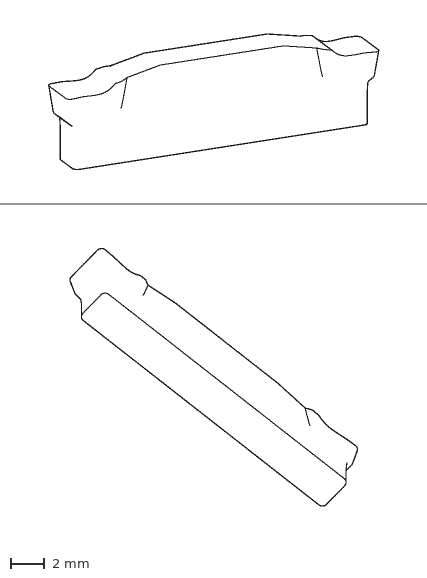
import cadquery as cq
import math

length = 20.33
height = 5.77
body_width = 2.3
half_length = length / 2

tip_height = 4.61
clearance_foot = (0.2, 2.95)
body_end = (0.59, 2.66)
land_end = (0.87, 4.65)
crest_end = (1.1, 4.65)
rake_break = (1.4, 4.64)
rake_end = (1.77, 4.61)
floor_end = (2.01, 4.61)
breaker_end = (3.07, 5.08)
ramp_start = (3.3, 5.16)
ramp_end = (6.15, height)

flank_width = 3.03
flank_taper_down = math.tan(math.radians(6.5))
flank_taper_back = math.tan(math.radians(3.5))
shoulder_start = 3.62
shoulder_end = 4.0
shoulder_top = 5.33
shoulder_radius = 0.5
corner_radius = 0.33
undercut_radius = 0.22
edge_margin = 0.02
clear_size = 3 * length


def flank_half_width(distance, z):
    drop = flank_taper_down * (tip_height - z)
    return flank_width / 2 - drop - flank_taper_back * distance


def half_profile():
    """Side profile from the end at -Y to the middle, extruded wider than the head."""
    def at(point):
        return (point[0] - half_length, point[1])

    return (
        cq.Workplane("YZ")
        .moveTo(0, 0)
        .lineTo(-half_length, 0)
        .lineTo(-half_length, tip_height)
        .lineTo(*at(land_end))
        .tangentArcPoint(at(crest_end), relative=False)
        .lineTo(*at(rake_break))
        .lineTo(*at(rake_end))
        .lineTo(*at(floor_end))
        .tangentArcPoint(at(breaker_end), relative=False)
        .tangentArcPoint(at(ramp_start), relative=False)
        .lineTo(*at(ramp_end))
        .lineTo(0, height)
        .close()
        .extrude(flank_width, both=True)
    )


def outer_side(origin, normal):
    """Block filling the side of a plane that its normal points to."""
    plane = cq.Plane(origin=origin, xDir=(0, -normal[2], normal[1]), normal=normal)
    return cq.Workplane(plane).rect(clear_size, clear_size).extrude(clear_size)


def tapered_flanks(solid):
    """Cut both flanks, leaning in downward and away from the tip."""
    for side in (-1, 1):
        flank = outer_side(
            (side * flank_width / 2, -half_length, tip_height),
            (side, flank_taper_back, -flank_taper_down),
        )
        solid = solid.cut(flank)
    return solid


def rounded_end(solid, lower, upper):
    """Trim the end along the line from lower to upper and round both sides of the cut face."""
    run = lower[0] - upper[0]
    fall = upper[1] - lower[1]
    trimmed = solid.cut(outer_side((0, lower[0] - half_length, lower[1]), (0, -fall, -run)))
    face_finder = cq.selectors.ParallelDirSelector(cq.Vector(0, -fall, -run))
    end_edges = trimmed.faces(face_finder).faces("<Y").edges("not |X")
    return end_edges.fillet(corner_radius)


def undercut_end(solid):
    """Shape the end: leaning clearance face, sloping undercut, upright body end."""
    clearance = rounded_end(solid, clearance_foot, (0, tip_height))
    undercut = rounded_end(solid, body_end, clearance_foot)
    upright = rounded_end(solid, (body_end[0], 0), body_end)
    return clearance.intersect(undercut).union(upright)


def shouldered(head):
    """End the flanks at sloping shoulders and round the edges between them."""
    body_half = body_width / 2
    lost_width = flank_width / 2 - body_half - flank_taper_back * shoulder_start
    shoulder_foot = tip_height - lost_width / flank_taper_down
    rise = flank_half_width(shoulder_start, shoulder_top) - body_half
    shoulder_slope = rise / (shoulder_end - shoulder_start)

    for side in (-1, 1):
        shoulder = outer_side(
            (side * body_half, shoulder_start - half_length, shoulder_foot),
            (side, shoulder_slope, -flank_taper_down),
        )
        head = head.cut(shoulder)
    shoulder_edges = cq.selectors.BoxSelector(
        (-flank_width, shoulder_start - edge_margin - half_length, 0),
        (flank_width, shoulder_start + edge_margin - half_length, shoulder_top),
    )
    return head.edges(shoulder_edges).fillet(shoulder_radius)


def blend_undercut(solid):
    """Round the two cross edges of the undercut: at the clearance face and at the body end."""
    for distance, z in (clearance_foot, body_end):
        cross_edge = cq.selectors.NearestToPointSelector((0, distance - half_length, z))
        solid = solid.edges("|X").edges(cross_edge).fillet(undercut_radius)
    return solid


profile = half_profile()
body = profile.intersect(cq.Workplane().box(body_width, clear_size, clear_size))
head = shouldered(undercut_end(tapered_flanks(profile)))
half_blade = blend_undercut(undercut_end(body).union(head))
result = half_blade.union(half_blade.mirror("XZ")).clean()